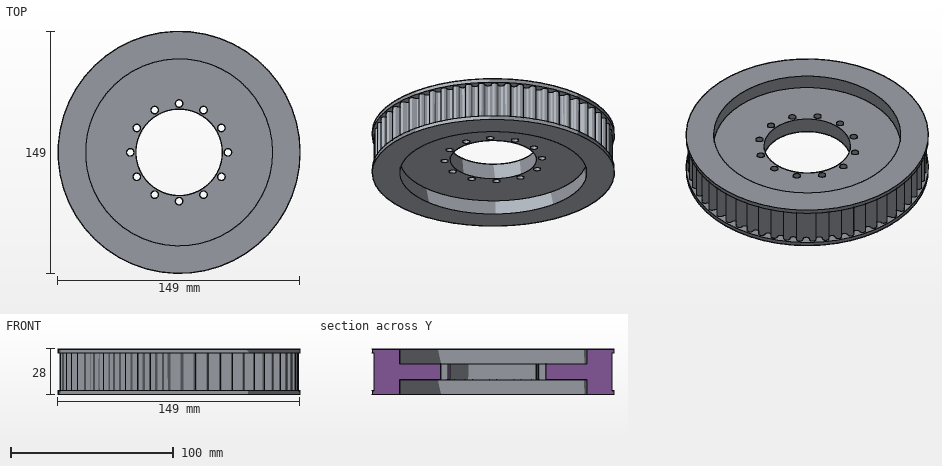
import cadquery as cq
import math

flange_diameter = 149.0
total_height = 28.0
flange_thickness = 2.5

web_thickness = 10.0
recess_diameter = 115.0
bore_diameter = 53.0
recess_depth = (total_height - web_thickness) / 2

bolt_hole_count = 12
bolt_hole_diameter = 4.5
bolt_circle_diameter = 60.0

tooth_count = 56
tip_radius = 73.3
groove_depth = 4.0
first_tooth_angle = 0.0

pitch_angle = 360.0 / tooth_count
root_radius = tip_radius - groove_depth
junction_radius = (tip_radius + root_radius) / 2
face_width = total_height - 2 * flange_thickness


def plan_point(radius, angle):
    """XY point at a radius and an angle in degrees from +X."""
    a = math.radians(angle)
    return (radius * math.cos(a), radius * math.sin(a))


def toothed_core():
    """Solid core whose outline alternates one tip arc and one groove arc per pitch."""
    start = plan_point(junction_radius, first_tooth_angle - pitch_angle / 4)
    outline = cq.Workplane("XY").workplane(offset=flange_thickness).moveTo(*start)
    for i in range(tooth_count):
        tooth = first_tooth_angle + i * pitch_angle
        groove = tooth + pitch_angle / 2
        outline = outline.threePointArc(
            plan_point(tip_radius, tooth),
            plan_point(junction_radius, tooth + pitch_angle / 4),
        )
        outline = outline.threePointArc(
            plan_point(root_radius, groove),
            plan_point(junction_radius, groove + pitch_angle / 4),
        )
    return outline.close().extrude(face_width)


def disc(diameter, height, bottom):
    """Plain cylinder on the Z axis."""
    return cq.Workplane("XY").workplane(offset=bottom).circle(diameter / 2).extrude(height)


def bolt_holes():
    """Ring of through holes in the web."""
    return (
        cq.Workplane("XY")
        .polarArray(bolt_circle_diameter / 2, startAngle=0, angle=360, count=bolt_hole_count)
        .circle(bolt_hole_diameter / 2)
        .extrude(total_height)
    )


pulley = toothed_core()
for flange_bottom in (0, total_height - flange_thickness):
    pulley = pulley.union(disc(flange_diameter, flange_thickness, flange_bottom))

for recess_bottom in (0, total_height - recess_depth):
    pulley = pulley.cut(disc(recess_diameter, recess_depth, recess_bottom))

pulley = pulley.cut(disc(bore_diameter, total_height, 0))
pulley = pulley.cut(bolt_holes())

result = pulley